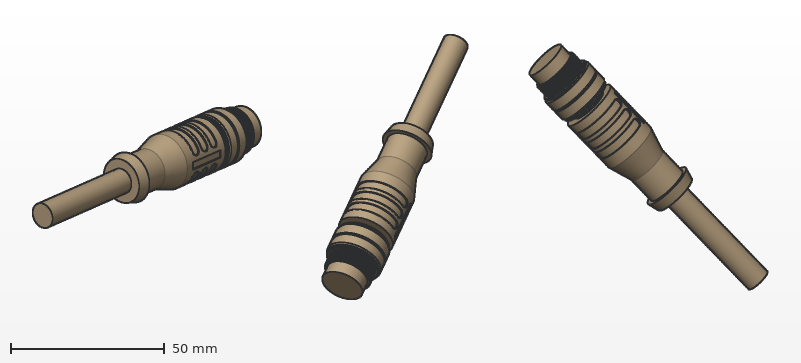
import cadquery as cq
import math


total_length = 102.5

nose_dia = 14.1
thread_dia = 16.0
thread_start = 4.4
thread_pitch = 0.75
thread_depth = 0.46
thread_lead_in = 0.3
thread_angle = 60.0
thread_first_groove = 4.6

collar_dia = 19.0
collar_rim_dia = 18.0
collar_start = 9.0
collar_end = 19.6
collar_shoulder_length = 0.5
collar_rim_length = 0.6
collar_edge_chamfer = 0.3
collar_groove_dia = 18.6
collar_groove_width = 0.6

neck_dia = 12.7
neck_end = 20.8
neck_relief_dia = 12.4

grip_dia = 19.0
grip_start = 21.1
grip_end = 40.6
finger_groove_count = 3
finger_groove_pitch = 4.5
finger_groove_width = 3.0
finger_groove_depth = 0.4
finger_groove_center = 30.4
finger_groove_height = 2.9
side_recess_length = 13.8
side_recess_width = 2.9
side_recess_floor_width = 2.3
side_recess_depth = 0.3

relief_dia = 14.0
relief_start = 48.9
flange_dia = 17.1
flange_end_dia = 15.1
flange_start = 58.5
flange_end = 62.5
cable_dia = 8.5


def revolved(stations):
    """Solid of revolution about Y from (distance from tip, diameter) stations."""
    outline = [(diameter / 2, -distance) for distance, diameter in stations]
    first_y = outline[0][1]
    last_y = outline[-1][1]
    return (
        cq.Workplane("XY")
        .polyline([(0, first_y)] + outline + [(0, last_y)])
        .close()
        .revolve(360, (0, 0), (0, 1))
    )


def make_core():
    """Nose, neck, grip, strain relief and cable in one turned solid."""
    return revolved([
        (0, nose_dia),
        (collar_start + collar_rim_length, nose_dia),
        (collar_start + collar_rim_length, neck_dia),
        (neck_end, neck_dia),
        (neck_end, neck_relief_dia),
        (grip_start, neck_relief_dia),
        (grip_start, grip_dia),
        (grip_end, grip_dia),
        (relief_start, relief_dia),
        (flange_start, relief_dia),
        (flange_start, flange_dia),
        (flange_end, flange_end_dia),
        (flange_end, cable_dia),
        (total_length, cable_dia),
    ])


def make_collar():
    """Collar with stepped, chamfered ends and a shallow groove around its middle."""
    edge_dia = collar_rim_dia - 2 * collar_edge_chamfer
    rim_end = collar_edge_chamfer + collar_rim_length
    shoulder_end = rim_end + collar_shoulder_length
    middle = (collar_start + collar_end) / 2
    groove_start = middle - collar_groove_width / 2
    groove_end = middle + collar_groove_width / 2
    return revolved([
        (collar_start, edge_dia),
        (collar_start + collar_edge_chamfer, collar_rim_dia),
        (collar_start + rim_end, collar_rim_dia),
        (collar_start + shoulder_end, collar_dia),
        (groove_start, collar_dia),
        (groove_start, collar_groove_dia),
        (groove_end, collar_groove_dia),
        (groove_end, collar_dia),
        (collar_end - shoulder_end, collar_dia),
        (collar_end - rim_end, collar_rim_dia),
        (collar_end - collar_edge_chamfer, collar_rim_dia),
        (collar_end, edge_dia),
    ])


def make_thread():
    """Threaded band with a right-handed helical V groove that runs out through both ends."""
    band_end = collar_start + collar_rim_length
    band = revolved([
        (thread_start, thread_dia - 2 * thread_lead_in),
        (thread_start + thread_lead_in, thread_dia),
        (band_end, thread_dia),
    ])
    groove_start = thread_first_groove - thread_pitch
    blank_start = groove_start - thread_pitch
    blank_end = band_end + 2 * thread_pitch
    blank = revolved([(blank_start, thread_dia), (blank_end, thread_dia)])
    overshoot = 0.05
    root_radius = thread_dia / 2 - thread_depth
    mouth_radius = thread_dia / 2 + overshoot
    flank_slope = math.tan(math.radians(thread_angle / 2))
    mouth_half_width = (mouth_radius - root_radius) * flank_slope
    helix = cq.Wire.makeHelix(thread_pitch, band_end + thread_pitch - groove_start, root_radius)
    groove = (
        cq.Workplane("XZ")
        .polyline([
            (root_radius, 0),
            (mouth_radius, mouth_half_width),
            (mouth_radius, -mouth_half_width),
        ])
        .close()
        .sweep(cq.Workplane(obj=helix), isFrenet=True)
        .rotate((0, 0, 0), (1, 0, 0), 90)
        .translate((0, -groove_start, 0))
    )
    return blank.cut(groove).intersect(band)


def make_finger_grooves():
    """Round-ended grooves wrapped over the top and the bottom of the grip."""
    first_center = finger_groove_center - finger_groove_pitch * (finger_groove_count - 1) / 2
    end_radius = finger_groove_width / 2
    straight_start = finger_groove_height + end_radius
    straight_end = grip_dia
    y_half = finger_groove_width / 2
    cutters = cq.Workplane("YZ")
    for index in range(finger_groove_count):
        y = -(first_center + index * finger_groove_pitch)
        for side in (1, -1):
            stadium = (
                cq.Workplane("YZ")
                .moveTo(y - y_half, side * straight_end)
                .lineTo(y - y_half, side * straight_start)
                .threePointArc((y, side * finger_groove_height), (y + y_half, side * straight_start))
                .lineTo(y + y_half, side * straight_end)
                .close()
                .extrude(grip_dia, both=True)
            )
            cutters = cutters.add(stadium)
    floor_dia = grip_dia - 2 * finger_groove_depth
    floor = revolved([(grip_start, floor_dia), (grip_end, floor_dia)])
    return cutters.combine().cut(floor)


def make_side_recesses():
    """Flat-bottomed recesses with sloped long walls on both sides of the grip."""
    mouth_x = grip_dia / 2
    floor_x = mouth_x - side_recess_depth
    mouth_half = side_recess_width / 2
    floor_half = side_recess_floor_width / 2
    recess = (
        cq.Workplane("XZ", origin=(0, -finger_groove_center, 0))
        .polyline([
            (floor_x, -floor_half),
            (mouth_x, -mouth_half),
            (mouth_x, mouth_half),
            (floor_x, floor_half),
        ])
        .close()
        .extrude(side_recess_length / 2, both=True)
    )
    return recess.union(recess.mirror("YZ"))


result = (
    make_core()
    .union(make_thread())
    .union(make_collar())
    .cut(make_finger_grooves())
    .cut(make_side_recesses())
)